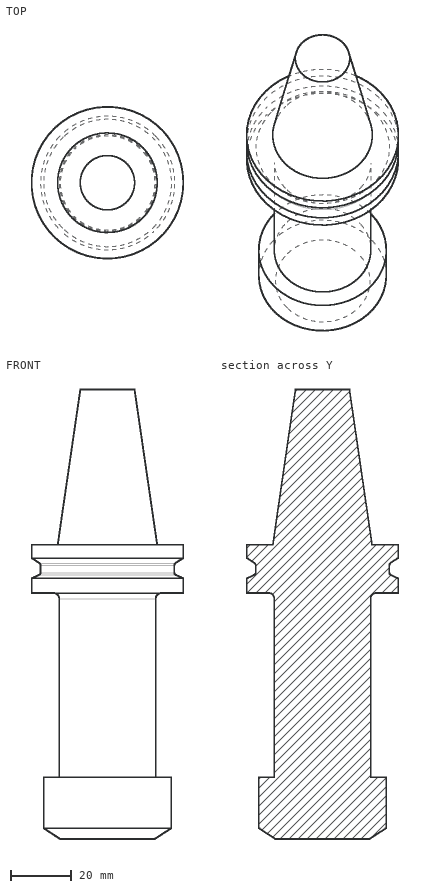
import cadquery as cq

total_length = 147.8

nut_diameter = 42.0
nut_face_diameter = 31.0
nut_height = 20.4
nut_chamfer_height = 3.5

shank_diameter = 31.8
shank_fillet_radius = 1.9

flange_diameter = 50.0
flange_height = 16.0
upper_rim_height = 4.5
lower_rim_height = 4.9
groove_floor_diameter = 44.0
groove_upper_flank_height = 1.9
groove_lower_flank_height = 1.3
groove_corner_radius = 0.7

taper_length = 51.0
taper_ratio = 7 / 24
taper_end_diameter = 17.9
taper_base_diameter = taper_end_diameter + taper_length * taper_ratio

flange_top = total_length - taper_length
flange_bottom = flange_top - flange_height
groove_top = flange_top - upper_rim_height
groove_bottom = flange_bottom + lower_rim_height
groove_floor_top = groove_top - groove_upper_flank_height
groove_floor_bottom = groove_bottom + groove_lower_flank_height

nut_radius = nut_diameter / 2
shank_radius = shank_diameter / 2
flange_radius = flange_diameter / 2
groove_floor_radius = groove_floor_diameter / 2

profile = (
    cq.Workplane("XZ")
    .moveTo(0, 0)
    .lineTo(nut_face_diameter / 2, 0)
    .lineTo(nut_radius, nut_chamfer_height)
    .lineTo(nut_radius, nut_height)
    .lineTo(shank_radius, nut_height)
    .lineTo(shank_radius, flange_bottom - shank_fillet_radius)
    .radiusArc((shank_radius + shank_fillet_radius, flange_bottom), shank_fillet_radius)
    .lineTo(flange_radius, flange_bottom)
    .lineTo(flange_radius, groove_bottom)
    .lineTo(groove_floor_radius, groove_floor_bottom)
    .lineTo(groove_floor_radius, groove_floor_top)
    .lineTo(flange_radius, groove_top)
    .lineTo(flange_radius, flange_top)
    .lineTo(taper_base_diameter / 2, flange_top)
    .lineTo(taper_end_diameter / 2, total_length)
    .lineTo(0, total_length)
    .close()
)

body = profile.revolve(360, (0, 0, 0), (0, 1, 0))

groove_corners = cq.selectors.BoxSelector(
    (-flange_radius, -flange_radius, groove_bottom),
    (flange_radius, flange_radius, groove_top),
    boundingbox=True,
)
groove_floor_circles = body.edges("%CIRCLE").edges(groove_corners).edges(
    cq.selectors.RadiusNthSelector(0)
)
result = groove_floor_circles.fillet(groove_corner_radius)